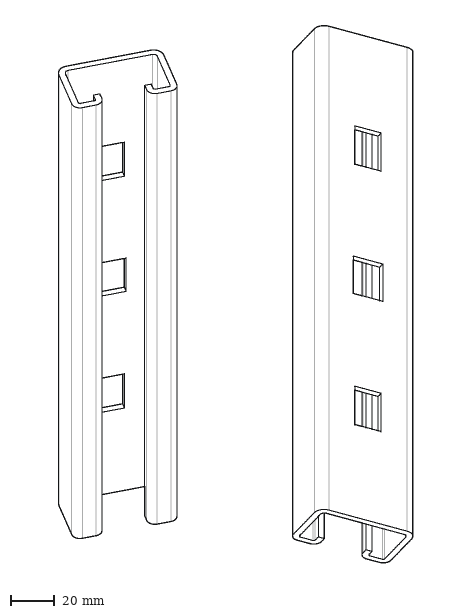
import cadquery as cq

length = 260.0
depth = 30.0
width = 50.0
thickness = 3.0
web_bend_radius = 5.0
lip_bend_radius = 4.0
flange_return = 14.3
lip_length = 7.0

slot_pitch = 70.0
end_slot_width = 13.5
end_slot_height = 20.5
middle_slot_width = 15.0
middle_slot_height = 20.0


def hollow_tube(size_x, size_y, outer_radius):
    """Full-length rounded tube of wall thickness, centred on the origin."""
    inner_x = size_x - 2 * thickness
    inner_y = size_y - 2 * thickness
    outside = cq.Workplane("XY").box(size_x, size_y, length).edges("|Z").fillet(outer_radius)
    inside = cq.Workplane("XY").box(inner_x, inner_y, length).edges("|Z").fillet(outer_radius - thickness)
    return outside.cut(inside)


def hooked_edge(side):
    """Bent return and inturned lip on the +Y (side=1) or -Y (side=-1) flange."""
    tube = hollow_tube(2 * lip_length, flange_return, lip_bend_radius)
    open_half = cq.Workplane("XY").box(lip_length, flange_return, length)
    hook = tube.intersect(open_half.translate((lip_length / 2, 0, 0)))
    return hook.translate((depth / 2 - lip_length, side * (width - flange_return) / 2, 0))


def web_slot(slot_width, slot_height, center_z):
    """Cutter for one slot, passing through the web only."""
    cutter = cq.Workplane("XY").box(2 * thickness, slot_width, slot_height)
    return cutter.translate((-(depth - thickness) / 2, 0, center_z))


channel = hollow_tube(depth, width, web_bend_radius)
open_side = cq.Workplane("XY").box(lip_length, width, length)
channel = channel.cut(open_side.translate(((depth - lip_length) / 2, 0, 0)))

for side in (-1, 1):
    channel = channel.union(hooked_edge(side))

channel = channel.cut(web_slot(middle_slot_width, middle_slot_height, 0))
for side in (-1, 1):
    channel = channel.cut(web_slot(end_slot_width, end_slot_height, side * slot_pitch))

result = channel.clean()